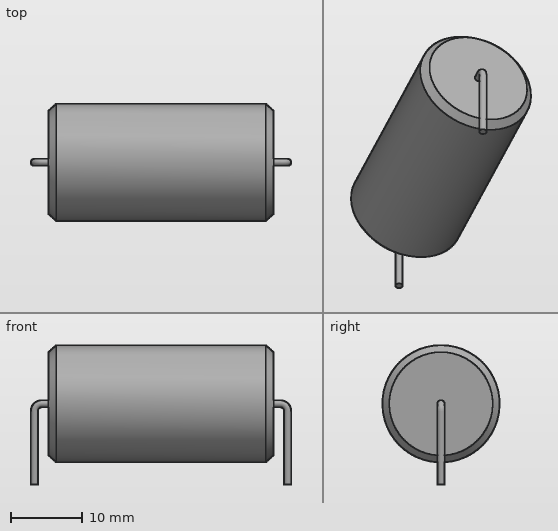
import cadquery as cq

overall_length = 36.55
can_diameter = 16.5
can_length = 31.6
chamfer_length = 1.1
chamfer_depth = 1.0
lead_diameter = 1.02
bend_radius = 1.02
overall_height = 19.6

can_end_x = can_length / 2
lead_drop_x = (overall_length - lead_diameter) / 2
lead_tip_z = can_diameter / 2 - overall_height


def make_can():
    """Round can with both end rims chamfered."""
    can_radius = can_diameter / 2
    rim_radius = can_radius - chamfer_depth
    shoulder_x = can_end_x - chamfer_length
    half_profile = (
        cq.Workplane("XZ")
        .moveTo(-can_end_x, 0)
        .lineTo(-can_end_x, rim_radius)
        .lineTo(-shoulder_x, can_radius)
        .lineTo(shoulder_x, can_radius)
        .lineTo(can_end_x, rim_radius)
        .lineTo(can_end_x, 0)
        .close()
    )
    return half_profile.revolve(360, (0, 0, 0), (1, 0, 0))


def make_lead(side):
    """Round wire leaving a can end (side -1 or +1) and bending down."""
    bend_start_x = lead_drop_x - bend_radius
    path = (
        cq.Workplane("XZ")
        .moveTo(side * can_end_x, 0)
        .lineTo(side * bend_start_x, 0)
        .tangentArcPoint((side * lead_drop_x, -bend_radius), relative=False)
        .lineTo(side * lead_drop_x, lead_tip_z)
    )
    section = cq.Workplane("YZ", origin=(side * can_end_x, 0, 0)).circle(lead_diameter / 2)
    return section.sweep(path)


can = make_can()
leads = [make_lead(side) for side in (-1, 1)]

result = cq.Compound.makeCompound([can.val(), *[lead.val() for lead in leads]])